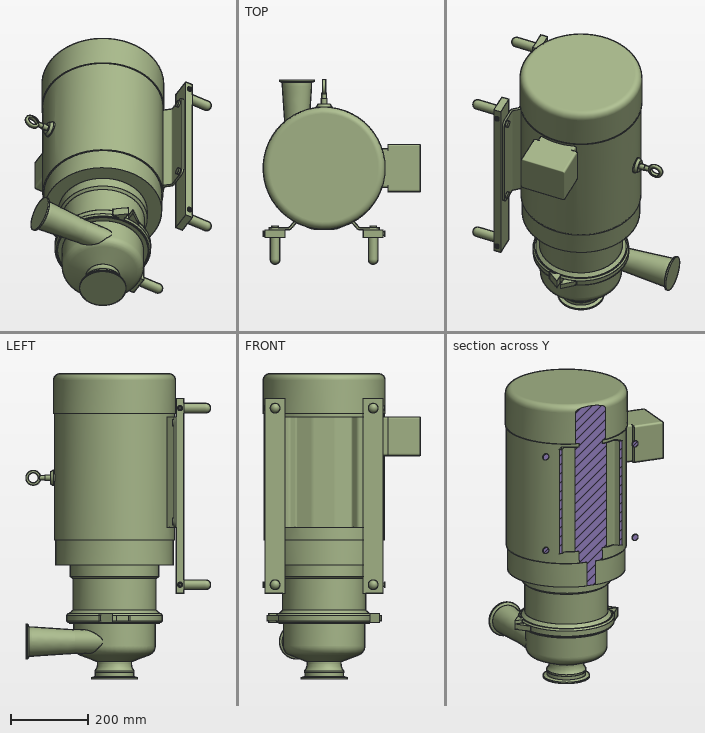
import cadquery as cq
import math

MOTOR_TOP = 791.0
CAP_RADIUS = 158.0
CAP_BOTTOM = 687.0
CAP_EDGE_RADIUS = 17.5
FRAME_RADIUS = 156.0
FRAME_BOTTOM = 360.0
END_BELL_RADIUS = 153.0
MOTOR_BOTTOM = 295.0

COLLAR_RADIUS = 230.0 / 2
COLLAR_BOTTOM = 266.0
ADAPTER_RADIUS = 216.0 / 2
ADAPTER_TOP = 260.0

CLAMP_RADIUS = 124.0
CLAMP_MID_Z = 158.0
CLAMP_HEIGHT = 24.0
CLAMP_BAND_HEIGHT = 14.0
CLAMP_BEVEL = 4.0
FLANGE_RADIUS = 117.0
FLANGE_TOP = 179.0
FLANGE_BOTTOM = 144.0
LUG_GAP = 5.5
LUG_END_Y = 39.5
LUG_TIP_X = 148.0
SHORT_LUG_TIP_X = 144.0
LUG_ROOT_X = 119.0

CASING_RADIUS = 105.6
CASING_WALL_BOTTOM = 85.5
CASING_EDGE_RADIUS = 24.5
CASING_CONE_ANGLE = 21
SUCTION_NECK_RADIUS = 44.0
SUCTION_NECK_TOP = 45.0
SUCTION_NECK_BOTTOM = 39.0
SUCTION_BELL_BOTTOM = 21.0
SUCTION_RADIUS = 102.0 / 2
SUCTION_STEP_Z = 17.0
SUCTION_STEP = 1.0
SUCTION_FLANGE_RADIUS = 60.0
FERRULE_RIM = 4.0
FERRULE_SLOPE = 3.0

OUTLET_X = -70.0
OUTLET_Z = 97.0
OUTLET_ROOT_RADIUS = 62.0 / 2
OUTLET_TAPER_START_Y = 102.0
OUTLET_TAPER_END_Y = 213.5
OUTLET_RADIUS = 77.0 / 2
OUTLET_FLANGE_RADIUS = 91.0 / 2
OUTLET_END_Y = 228.5

BOX_TOP = 678.5
BOX_BOTTOM = 578.0
BOX_WIDTH = 123.0
BOX_INNER_X = 165.0
BOX_OUTER_X = 249.0
BOX_EDGE_RADIUS = 5.5
BOX_COVER_RADIUS = 2.0
BOX_NECK_WIDTH = 101.0
BOX_NECK_START_X = 119.0

EYE_Z = 521.0
EYE_CENTRE_Y = 210.0
EYE_OUTER_RADIUS = 39.0 / 2
EYE_HOLE_RADIUS = 25.0 / 2
EYE_THICKNESS = 9.5
EYE_ROUNDING = 2.0
EYE_BOSS_BASE_RADIUS = 20.5
EYE_BOSS_TOP_RADIUS = 16.0
EYE_BOSS_BASE_Y = 158.0
EYE_BOSS_TOP_Y = 166.0
EYE_NUT_RADIUS = 15.0 / 2
EYE_NUT_TOP_Y = 180.0
EYE_STEM_RADIUS = 13.0 / 2
EYE_STEM_TOP_Y = 194.5

RAIL_CENTRE_X = 126.9
RAIL_WIDTH = 52.0
RAIL_TOP = 727.0
RAIL_BOTTOM = 222.0
RAIL_FACE_Y = -160.0
RAIL_THICKNESS = 20.0
STUD_RADIUS = 25.0 / 2
STUD_TIP_Y = -249.0
STUD_TOP_INSET = 25.0
STUD_BOTTOM_INSET = 22.0
STUD_HEIGHTS = [RAIL_TOP - STUD_TOP_INSET, RAIL_BOTTOM + STUD_BOTTOM_INSET]
PLUG_SHANK_RADIUS = 10.0 / 2
PLUG_HEAD_RADIUS = 13.5 / 2
PLUG_SOCKET_RADIUS = 6.0 / 2
PLUG_REACH = 5.0
PLUG_HEAD_THICKNESS = 1.5

FOOT_TOP = 678.5
FOOT_BOTTOM = 393.0
FOOT_THICKNESS = 5.5
FOOT_END_X = 143.0
FOOT_FLAT_Y = -158.0
FOOT_BEND_X = 29.65
FOOT_KNEE = (72.0, -141.5)
FOOT_KNEE_INNER = (77.5, -138.0)
FOOT_ANKLE_X = 88.0
FOOT_ANKLE_INNER_X = 92.0
FOOT_BACK = (67.0, -130.5)
FOOT_BEND_RADIUS = 19.0
FOOT_LEG_BEND_RADIUS = 5.0
FOOT_CORNER_RADIUS = 14.0
BOLT_HEAD_RADIUS = 9.0
BOLT_HEAD_HEIGHT = 5.0
BOLT_END_INSET = 15.0


def motor():
    """Fan cowl, frame and end bell of the motor with the collar below."""
    profile = (
        cq.Workplane("XZ")
        .moveTo(0, MOTOR_TOP)
        .lineTo(CAP_RADIUS - CAP_EDGE_RADIUS, MOTOR_TOP)
        .radiusArc((CAP_RADIUS, MOTOR_TOP - CAP_EDGE_RADIUS), CAP_EDGE_RADIUS)
        .lineTo(CAP_RADIUS, CAP_BOTTOM)
        .lineTo(FRAME_RADIUS, CAP_BOTTOM)
        .lineTo(FRAME_RADIUS, FRAME_BOTTOM)
        .lineTo(END_BELL_RADIUS, FRAME_BOTTOM)
        .lineTo(END_BELL_RADIUS, MOTOR_BOTTOM)
        .lineTo(COLLAR_RADIUS, MOTOR_BOTTOM)
        .lineTo(COLLAR_RADIUS, COLLAR_BOTTOM)
        .lineTo(ADAPTER_RADIUS, ADAPTER_TOP)
        .lineTo(0, ADAPTER_TOP)
        .close()
    )
    return profile.revolve(360, (0, 0, 0), (0, 1, 0))


def pump_casing():
    """Adapter, flange pair, dished casing and flared suction nozzle."""
    cone_angle = math.radians(CASING_CONE_ANGLE)
    shoulder_radius = CASING_RADIUS - CASING_EDGE_RADIUS * (1 - math.sin(cone_angle))
    shoulder_z = CASING_WALL_BOTTOM - CASING_EDGE_RADIUS * math.cos(cone_angle)
    barrel_radius = SUCTION_RADIUS - SUCTION_STEP
    profile = (
        cq.Workplane("XZ")
        .moveTo(0, ADAPTER_TOP)
        .lineTo(ADAPTER_RADIUS, ADAPTER_TOP)
        .lineTo(ADAPTER_RADIUS, FLANGE_TOP)
        .lineTo(FLANGE_RADIUS, CLAMP_MID_Z + CLAMP_HEIGHT / 2)
        .lineTo(FLANGE_RADIUS, FLANGE_BOTTOM)
        .lineTo(CASING_RADIUS, FLANGE_BOTTOM)
        .lineTo(CASING_RADIUS, CASING_WALL_BOTTOM)
        .tangentArcPoint((shoulder_radius, shoulder_z), relative=False)
        .lineTo(SUCTION_NECK_RADIUS, SUCTION_NECK_TOP)
        .lineTo(SUCTION_NECK_RADIUS, SUCTION_NECK_BOTTOM)
        .tangentArcPoint((SUCTION_RADIUS, SUCTION_BELL_BOTTOM), relative=False)
        .lineTo(SUCTION_RADIUS, SUCTION_STEP_Z)
        .lineTo(barrel_radius, SUCTION_STEP_Z)
        .lineTo(barrel_radius, FERRULE_RIM + FERRULE_SLOPE)
        .lineTo(SUCTION_FLANGE_RADIUS, FERRULE_RIM)
        .lineTo(SUCTION_FLANGE_RADIUS, 0)
        .lineTo(0, 0)
        .close()
    )
    return profile.revolve(360, (0, 0, 0), (0, 1, 0))


def clamp_lug(side_x, side_y, tip_x, height):
    """Wedge ear beside the clamp's split line, tapering back to the ring."""
    return (
        cq.Workplane("XY")
        .workplane(offset=CLAMP_MID_Z - height / 2)
        .polyline([
            (side_x * LUG_ROOT_X, side_y * LUG_GAP),
            (side_x * tip_x, side_y * LUG_GAP),
            (side_x * LUG_ROOT_X, side_y * LUG_END_Y),
        ])
        .close()
        .extrude(height)
    )


def clamp():
    """Bevelled ring with a low and a tall ear on each side."""
    half_height = CLAMP_HEIGHT / 2
    half_band = CLAMP_BAND_HEIGHT / 2
    face_radius = CLAMP_RADIUS - CLAMP_BEVEL
    ring = (
        cq.Workplane("XZ")
        .polyline([
            (0, CLAMP_MID_Z + half_height),
            (face_radius, CLAMP_MID_Z + half_height),
            (CLAMP_RADIUS, CLAMP_MID_Z + half_band),
            (CLAMP_RADIUS, CLAMP_MID_Z - half_band),
            (face_radius, CLAMP_MID_Z - half_height),
            (0, CLAMP_MID_Z - half_height),
        ])
        .close()
        .revolve(360, (0, 0, 0), (0, 1, 0))
    )
    for side in (-1, 1):
        ring = ring.union(clamp_lug(side, side, LUG_TIP_X, CLAMP_BAND_HEIGHT))
        ring = ring.union(clamp_lug(side, -side, SHORT_LUG_TIP_X, CLAMP_HEIGHT))
    return ring


def discharge_nozzle():
    """Tapered tube with a ferrule, cutting into the casing off-centre."""
    rim_y = OUTLET_END_Y - FERRULE_RIM
    profile = (
        cq.Workplane("XY", origin=(OUTLET_X, 0, OUTLET_Z))
        .polyline([
            (0, 0),
            (OUTLET_ROOT_RADIUS, 0),
            (OUTLET_ROOT_RADIUS, OUTLET_TAPER_START_Y),
            (OUTLET_RADIUS, OUTLET_TAPER_END_Y),
            (OUTLET_RADIUS, rim_y - FERRULE_SLOPE),
            (OUTLET_FLANGE_RADIUS, rim_y),
            (OUTLET_FLANGE_RADIUS, OUTLET_END_Y),
            (0, OUTLET_END_Y),
        ])
        .close()
    )
    return profile.revolve(360, (0, 0, 0), (0, 1, 0))


def x_block(start_x, end_x, width):
    """Block along X with the height of the terminal box and rounded long edges."""
    return (
        cq.Workplane("YZ", origin=(start_x, 0, (BOX_TOP + BOX_BOTTOM) / 2))
        .rect(width, BOX_TOP - BOX_BOTTOM)
        .extrude(end_x - start_x)
        .edges("|X")
        .fillet(BOX_EDGE_RADIUS)
    )


def terminal_box():
    """Terminal box standing on a narrower neck."""
    box = x_block(BOX_INNER_X, BOX_OUTER_X, BOX_WIDTH).faces(">X").edges().fillet(BOX_COVER_RADIUS)
    return box.union(x_block(BOX_NECK_START_X, BOX_INNER_X, BOX_NECK_WIDTH))


def lifting_eye():
    """Eye ring on a stepped stem and conical boss."""
    stem = (
        cq.Workplane("XY", origin=(0, 0, EYE_Z))
        .polyline([
            (0, FRAME_RADIUS - EYE_BOSS_BASE_RADIUS),
            (EYE_BOSS_BASE_RADIUS, FRAME_RADIUS - EYE_BOSS_BASE_RADIUS),
            (EYE_BOSS_BASE_RADIUS, EYE_BOSS_BASE_Y),
            (EYE_BOSS_TOP_RADIUS, EYE_BOSS_TOP_Y),
            (EYE_NUT_RADIUS, EYE_BOSS_TOP_Y),
            (EYE_NUT_RADIUS, EYE_NUT_TOP_Y),
            (EYE_STEM_RADIUS, EYE_NUT_TOP_Y),
            (EYE_STEM_RADIUS, EYE_STEM_TOP_Y),
            (0, EYE_STEM_TOP_Y),
        ])
        .close()
        .revolve(360, (0, 0, 0), (0, 1, 0))
    )
    ring = (
        cq.Workplane("YZ", origin=(-EYE_THICKNESS / 2, EYE_CENTRE_Y, EYE_Z))
        .circle(EYE_OUTER_RADIUS)
        .extrude(EYE_THICKNESS)
        .edges()
        .fillet(EYE_ROUNDING)
    )
    hole = (
        cq.Workplane("YZ", origin=(-EYE_THICKNESS, EYE_CENTRE_Y, EYE_Z))
        .circle(EYE_HOLE_RADIUS)
        .extrude(2 * EYE_THICKNESS)
    )
    return stem.union(ring).cut(hole)


def foot_plate():
    """Bent plate under the motor, with a bolt head in each corner."""
    flange_top_y = RAIL_FACE_Y + FOOT_THICKNESS
    half_outline = [
        (FOOT_BEND_X, FOOT_FLAT_Y),
        FOOT_KNEE,
        (FOOT_ANKLE_X, RAIL_FACE_Y),
        (FOOT_END_X, RAIL_FACE_Y),
        (FOOT_END_X, flange_top_y),
        (FOOT_ANKLE_INNER_X, flange_top_y),
        FOOT_KNEE_INNER,
        FOOT_BACK,
    ]
    mirrored_outline = [(-x, y) for x, y in reversed(half_outline)]
    plate = (
        cq.Workplane("XY")
        .workplane(offset=FOOT_BOTTOM)
        .polyline(half_outline + mirrored_outline)
        .close()
        .extrude(FOOT_TOP - FOOT_BOTTOM)
    )
    mid_z = (FOOT_TOP + FOOT_BOTTOM) / 2
    bends = [
        (FOOT_BEND_X, FOOT_FLAT_Y, FOOT_BEND_RADIUS),
        (*FOOT_KNEE, FOOT_LEG_BEND_RADIUS),
        (FOOT_ANKLE_X, RAIL_FACE_Y, FOOT_LEG_BEND_RADIUS + FOOT_THICKNESS),
        (FOOT_ANKLE_INNER_X, flange_top_y, FOOT_LEG_BEND_RADIUS),
    ]
    for x, y, radius in bends:
        for side in (-1, 1):
            edge = cq.selectors.NearestToPointSelector((side * x, y, mid_z))
            plate = plate.edges("|Z").edges(edge).fillet(radius)
    for end in ("<X", ">X"):
        plate = plate.faces(end).edges("|Y").fillet(FOOT_CORNER_RADIUS)

    bolt_points = [
        (side * RAIL_CENTRE_X, z)
        for side in (-1, 1)
        for z in (FOOT_BOTTOM + BOLT_END_INSET, FOOT_TOP - BOLT_END_INSET)
    ]
    heads = (
        cq.Workplane("XZ", origin=(0, flange_top_y, 0))
        .pushPoints(bolt_points)
        .circle(BOLT_HEAD_RADIUS)
        .extrude(-BOLT_HEAD_HEIGHT)
    )
    return plate.union(heads)


def motor_pump():
    """Motor, pump and everything fixed to them as one solid."""
    body = motor()
    for piece in (pump_casing(), clamp(), discharge_nozzle(), terminal_box(), lifting_eye(), foot_plate()):
        body = body.union(piece)
    return body


def rail_stud(side, z):
    """Round-ended stud pointing to -Y from a rail."""
    length = RAIL_FACE_Y - STUD_TIP_Y - STUD_RADIUS
    start = (side * RAIL_CENTRE_X, RAIL_FACE_Y, z)
    stem = cq.Workplane("XZ", origin=start).circle(STUD_RADIUS).extrude(length)
    tip = cq.Workplane("XY", origin=(start[0], start[1] - length, z)).sphere(STUD_RADIUS)
    return stem.union(tip)


def rail_plug(side, z):
    """Headed plug with a round socket on the outer edge of a rail."""
    edge_x = side * (RAIL_CENTRE_X + RAIL_WIDTH / 2)
    shank_length = PLUG_REACH - PLUG_HEAD_THICKNESS
    start = cq.Workplane("YZ", origin=(edge_x, RAIL_FACE_Y - RAIL_THICKNESS / 2, z))
    head_start = start.workplane(offset=side * shank_length)
    head = (
        head_start.circle(PLUG_HEAD_RADIUS)
        .circle(PLUG_SOCKET_RADIUS)
        .extrude(side * PLUG_HEAD_THICKNESS)
    )
    return start.circle(PLUG_SHANK_RADIUS).extrude(side * shank_length).union(head)


def rail(side):
    """Vertical mounting rail with two studs and two edge plugs."""
    bar = cq.Workplane("XY").box(
        RAIL_WIDTH, RAIL_THICKNESS, RAIL_TOP - RAIL_BOTTOM
    ).translate((
        side * RAIL_CENTRE_X,
        RAIL_FACE_Y - RAIL_THICKNESS / 2,
        (RAIL_TOP + RAIL_BOTTOM) / 2,
    ))
    for z in STUD_HEIGHTS:
        bar = bar.union(rail_stud(side, z)).union(rail_plug(side, z))
    return bar


housing = motor_pump()
rails = [rail(side) for side in (-1, 1)]
result = cq.Compound.makeCompound([housing.val(), *[bar.val() for bar in rails]])